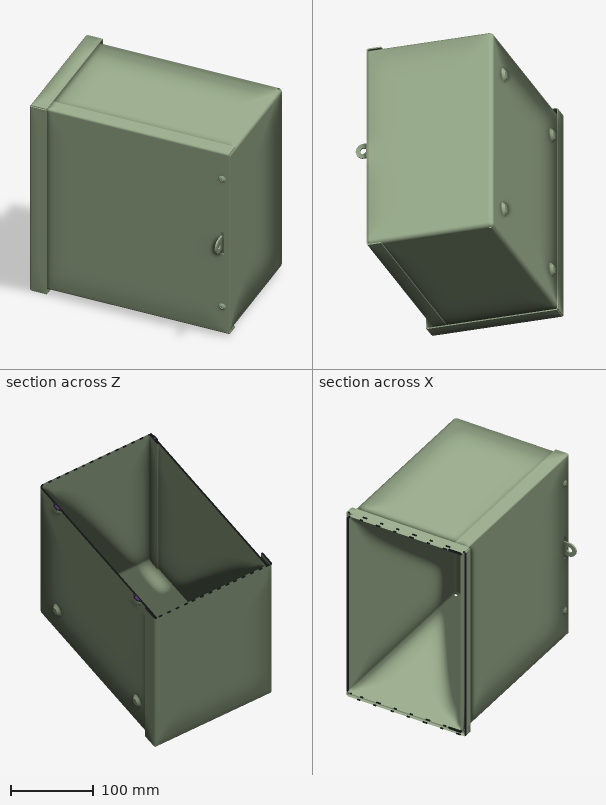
import cadquery as cq


length = 260.5
sheet = 1.5

hood_height = 270.0
hood_depth = 168.5
hood_reach = 22.0
hood_bend = 2.5
hood_corner_notch = 1.3

cover_front = 6.2
cover_height = 262.5
cover_flange = 18.4
cover_bend = 2.7
cover_inner_bend = cover_bend - sheet
cover_back = cover_front + sheet

box_height = cover_height - 2 * sheet
box_back = hood_depth - sheet
box_depth = box_back - cover_back
box_bend = 5.0
return_flange = 19.0
relief_diameter = 4.0
relief_inset = 4.0

boss_base_diameter = 17.8
boss_top_diameter = 9.7
boss_height = 3.5
boss_spacing_x = 178.0
boss_spacing_z = 179.5

fastener_x = 251.5
screw_spacing = 185.7
screw_head_diameter = 9.7
screw_head_height = 2.5
screw_shank_diameter = 4.0
screw_shank_length = 2 * sheet
recess_length = 4.3
recess_width = 1.3
recess_depth = 1.3

hasp_thickness = 2.2
hasp_radius = 9.5
hasp_hole_diameter = 7.8
hasp_tip = -10.8
slot_width = 4.9
slot_height = 31.8
slot_left = 249.0


def block(x, y, z_height, x_size, y_size):
    """Box with its low X and Y corner at (x, y), centred on Z = 0."""
    return cq.Workplane("XY").box(x_size, y_size, z_height, centered=(False, False, True)).translate((x, y, 0))


def rod(diameter, x, z, y_start, y_length):
    """Cylinder along +Y from y_start, on the axis through (x, z)."""
    return cq.Workplane("XZ", origin=(x, y_start, z)).circle(diameter / 2).extrude(-y_length)


screw_levels = (-screw_spacing / 2, screw_spacing / 2)


def cut_screw_holes(body):
    """Body with the screw holes cut through whatever sheets the shanks cross."""
    for z in screw_levels:
        body = body.cut(rod(screw_shank_diameter, fastener_x, z, cover_front, screw_shank_length))
    return body


def make_hood():
    hood = block(0, 0, hood_height, hood_reach, hood_depth).faces("<X").edges().fillet(hood_bend)
    hood = hood.cut(block(sheet, sheet, hood_height - 2 * sheet, hood_reach, hood_depth - 2 * sheet))
    for y in (0, hood_depth):
        for z in (-hood_height / 2, hood_height / 2):
            seam = cq.Workplane("XY").box(
                hood_reach, 2 * hood_corner_notch, 2 * hood_corner_notch, centered=(False, True, True)
            )
            hood = hood.cut(seam.translate((0, y, z)))
    return hood


def make_cover():
    cover_length = length - sheet
    cover = block(sheet, cover_front, cover_height, cover_length, cover_flange)
    cover = cover.edges("|X and <Y").fillet(cover_bend)
    inside = block(sheet, cover_back, box_height, cover_length, cover_flange)
    cover = cover.cut(inside.edges("|X and <Y").fillet(cover_inner_bend))
    cover = cover.cut(block(slot_left, cover_front, slot_height, slot_width, sheet))
    return cut_screw_holes(cover)


def rounded_shell_block(inset, bend):
    """Box envelope shrunk by inset, with the bent edges around its back and free end rounded."""
    envelope = block(sheet, cover_back, box_height - 2 * inset, length - sheet - inset, box_depth - inset)
    return envelope.edges("(>Y and |X) or (>X and |Y) or (>X and >Y)").fillet(bend)


def make_box():
    box = rounded_shell_block(0, box_bend).cut(rounded_shell_block(sheet, box_bend - sheet))
    flange = block(length - return_flange, cover_back, box_height, return_flange, sheet)
    box = box.union(flange.intersect(rounded_shell_block(0, box_bend)))
    box = box.edges("<Y and |X").edges("<Z or >Z").fillet(cover_inner_bend)
    relief = cq.Workplane("XY").circle(relief_diameter / 2).extrude(box_height / 2, both=True)
    box = box.cut(relief.translate((length - relief_inset, box_back - relief_inset, 0)))
    for x_side in (-1, 1):
        for z_side in (-1, 1):
            centre = cq.Vector(
                length / 2 + x_side * boss_spacing_x / 2, box_back, z_side * boss_spacing_z / 2
            )
            boss = cq.Solid.makeCone(
                boss_base_diameter / 2,
                boss_top_diameter / 2,
                boss_height,
                pnt=centre,
                dir=cq.Vector(0, 1, 0),
            )
            box = box.union(cq.Workplane(boss))
    return cut_screw_holes(box)


def make_screw(z):
    head_front = cover_front - screw_head_height
    rim_radius = screw_head_diameter / 2
    dome_radius = (rim_radius**2 + screw_head_height**2) / (2 * screw_head_height)
    dome = cq.Workplane("XY").sphere(dome_radius).translate((fastener_x, head_front + dome_radius, z))
    screw = dome.intersect(rod(screw_head_diameter, fastener_x, z, head_front, screw_head_height))
    screw = screw.union(rod(screw_shank_diameter, fastener_x, z, cover_front, screw_shank_length))
    for x_size, z_size in ((recess_length, recess_width), (recess_width, recess_length)):
        arm = cq.Workplane("XZ", origin=(fastener_x, head_front, z)).rect(x_size, z_size)
        screw = screw.cut(arm.extrude(-recess_depth))
    return screw


def make_hasp():
    """Upright tongue on the box flange, rounded at its tip around the padlock hole."""
    eye_y = hasp_tip + hasp_radius
    hasp = (
        cq.Workplane("YZ", origin=(slot_left, 0, 0))
        .moveTo(cover_back, -hasp_radius)
        .lineTo(eye_y, -hasp_radius)
        .threePointArc((hasp_tip, 0), (eye_y, hasp_radius))
        .lineTo(cover_back, hasp_radius)
        .close()
        .extrude(hasp_thickness)
    )
    hole = cq.Workplane("YZ", origin=(slot_left, eye_y, 0)).circle(hasp_hole_diameter / 2)
    return hasp.cut(hole.extrude(hasp_thickness))


hood = make_hood()
cover = make_cover()
box = make_box()
hasp = make_hasp()
screws = [make_screw(z) for z in screw_levels]

result = cq.Compound.makeCompound(
    [hood.val(), cover.val(), box.val(), hasp.val(), *[screw.val() for screw in screws]]
)